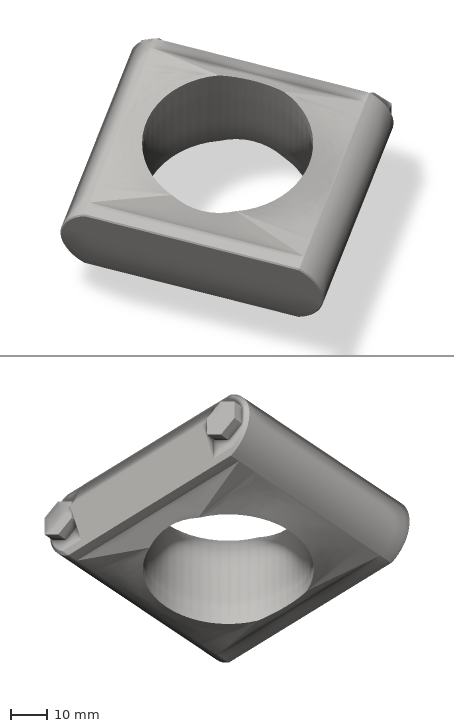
import cadquery as cq
import math

length = 75.95
body_height = 21.95
flat_half_width = 31.0
front_y = -32.8
shoulder_y = 32.2
front_chamfer = 0.4
shoulder_chamfer = 0.9

ridge_y = 36.45
ridge_base_y = 31.4
ridge_half_length = 25.3

collar_height = 29.85
hole_radius = 23.55
collar_half_depth = 28.1
side_half_depth = 21.65

bolt_across_corners = 11.9
bolt_top_y = 35.4

half_length = length / 2
half_body = body_height / 2
half_collar = collar_height / 2
arc_end_x = math.sqrt(hole_radius**2 - side_half_depth**2)


def bar(end_y):
    """Bar with arc sides, from the front end to end_y."""
    return (
        cq.Workplane("XZ", origin=(0, end_y, 0))
        .moveTo(-flat_half_width, half_body)
        .lineTo(flat_half_width, half_body)
        .threePointArc((half_length, 0), (flat_half_width, -half_body))
        .lineTo(-flat_half_width, -half_body)
        .threePointArc((-half_length, 0), (-flat_half_width, half_body))
        .close()
        .extrude(end_y - front_y)
    )


def roof(half_width, start_y):
    """Prism along X, starting at start_y, whose back end tapers to the ridge line."""
    outline = [
        (start_y, -half_body),
        (ridge_base_y, -half_body),
        (ridge_y, 0),
        (ridge_base_y, half_body),
        (start_y, half_body),
    ]
    return cq.Workplane("YZ").polyline(outline).close().extrude(half_width, both=True)


def planar_face(*points):
    return cq.Face.makeFromWires(cq.Wire.makePolygon([cq.Vector(*p) for p in points], close=True))


def upper_collar():
    """Solid above the mid-plane, with ruled sides rising from straight edges to the hole rim."""
    w = flat_half_width
    outer = collar_half_depth
    inner = side_half_depth
    faces = [planar_face((-w, -outer, 0), (w, -outer, 0), (w, outer, 0), (-w, outer, 0))]

    rim_arcs = []
    for side in (-1, 1):
        x = side * w
        base_front = cq.Vector(x, -inner, half_body)
        base_back = cq.Vector(x, inner, half_body)
        rim_front = cq.Vector(side * arc_end_x, -inner, half_collar)
        rim_back = cq.Vector(side * arc_end_x, inner, half_collar)
        rim_middle = cq.Vector(side * hole_radius, 0, half_collar)
        base_edge = cq.Edge.makeLine(base_front, base_back)
        rim_arc = cq.Edge.makeThreePointArc(rim_front, rim_middle, rim_back)
        rim_arcs.append(rim_arc)
        faces.append(cq.Face.makeRuledSurface(base_edge, rim_arc))
        faces.append(
            planar_face(
                (x, -outer, 0),
                (x, outer, 0),
                (x, outer, half_body),
                (x, inner, half_body),
                (x, -inner, half_body),
                (x, -outer, half_body),
            )
        )

    rim_chords = []
    for end in (-1, 1):
        y_outer = end * outer
        y_inner = end * inner
        rim_left = (-arc_end_x, y_inner, half_collar)
        rim_right = (arc_end_x, y_inner, half_collar)
        corner_left = (-w, y_outer, half_body)
        corner_right = (w, y_outer, half_body)
        rim_chords.append(cq.Edge.makeLine(cq.Vector(*rim_left), cq.Vector(*rim_right)))
        faces.append(planar_face(corner_left, corner_right, rim_right, rim_left))
        faces.append(planar_face(corner_left, (-w, y_inner, half_body), rim_left))
        faces.append(planar_face(corner_right, (w, y_inner, half_body), rim_right))
        faces.append(planar_face((-w, y_outer, 0), (w, y_outer, 0), corner_right, corner_left))

    rim = cq.Wire.assembleEdges([rim_arcs[0], rim_chords[1], rim_arcs[1], rim_chords[0]])
    faces.append(cq.Face.makeFromWires(rim))
    return cq.Workplane(cq.Solid.makeSolid(cq.Shell.makeShell(faces)).fix())


def bolt_head(x):
    """Hexagonal head with two corners pointing along Z."""
    return (
        cq.Workplane("XZ", origin=(x, bolt_top_y, 0))
        .transformed(rotate=(0, 0, 90))
        .polygon(6, bolt_across_corners)
        .extrude(bolt_top_y - shoulder_y)
    )


body = bar(shoulder_y)
body = body.faces("<Y").chamfer(front_chamfer).faces(">Y").chamfer(shoulder_chamfer)
body = body.intersect(roof(half_length, front_y))

body = body.union(roof(ridge_half_length, collar_half_depth))
for side in (-1, 1):
    body = body.union(bolt_head(side * flat_half_width))

collar = upper_collar()
body = body.union(collar).union(collar.mirror("XY"))
hole = cq.Workplane("XY", origin=(0, 0, -half_collar)).circle(hole_radius).extrude(collar_height)
result = body.cut(hole)